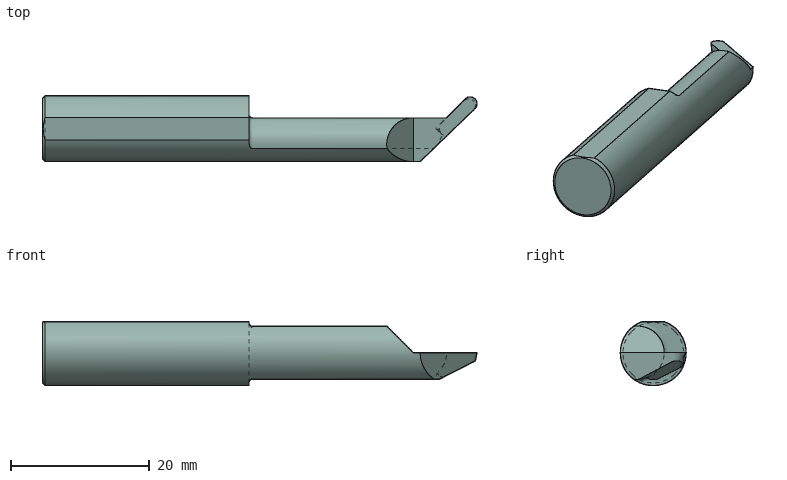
import cadquery as cq
import math

SHANK_RADIUS = 4.7625
SHANK_LENGTH = 29.8
FLAT_HEIGHT = 4.4775
BACK_CHAMFER = 0.4

NECK_RADIUS = 3.84
NECK_CENTER_Y = -2.27
NECK_FILLET = 0.5

CUTTING_FACE_Z = 0.0
RAMP_FOOT_X = 53.5

OVERALL_LENGTH = 62.7
TIP_RADIUS = 1.0
TIP_CENTER_X = OVERALL_LENGTH - TIP_RADIUS
TIP_CENTER_Y = 3.6
FRONT_FLANK_ANGLE = 44.0
REAR_FLANK_ANGLE = 45.5
ARM_LENGTH = 5.0
TIP_RELIEF_ANGLE = 15.0

SLOPE_START_X = 57.25
SLOPE_ANGLE = 27.0

CLEARANCE = 20.0

TIP_CENTER = cq.Vector(TIP_CENTER_X, TIP_CENTER_Y, CUTTING_FACE_Z)


def flank_direction(angle):
    """Horizontal unit vector along an arm flank, pointing toward the tip."""
    return cq.Vector(math.cos(math.radians(angle)), math.sin(math.radians(angle)), 0)


def left_of(direction):
    """Horizontal direction turned a quarter turn counter-clockwise."""
    return cq.Vector(-direction.y, direction.x, 0)


FRONT_DIRECTION = flank_direction(FRONT_FLANK_ANGLE)
REAR_DIRECTION = flank_direction(REAR_FLANK_ANGLE)
FRONT_TANGENT = TIP_CENTER - left_of(FRONT_DIRECTION) * TIP_RADIUS
REAR_TANGENT = TIP_CENTER + left_of(REAR_DIRECTION) * TIP_RADIUS


def make_shank():
    bar = cq.Workplane("YZ").circle(SHANK_RADIUS).extrude(SHANK_LENGTH)
    bar = bar.faces("<X").chamfer(BACK_CHAMFER)
    above_flat = (
        cq.Workplane("XY")
        .workplane(offset=FLAT_HEIGHT)
        .rect(2 * OVERALL_LENGTH, 4 * SHANK_RADIUS)
        .extrude(CLEARANCE)
    )
    return bar.cut(above_flat)


def make_neck():
    """Revolved bar whose root flares into the shank face, kept inside the shank surface."""
    root_radius = NECK_RADIUS + NECK_FILLET
    fillet_middle = NECK_FILLET * (1 - math.sqrt(0.5))
    profile = (
        cq.Workplane("XZ", origin=(0, NECK_CENTER_Y, 0))
        .moveTo(SHANK_LENGTH, 0)
        .lineTo(SHANK_LENGTH, root_radius)
        .threePointArc(
            (SHANK_LENGTH + fillet_middle, NECK_RADIUS + fillet_middle),
            (SHANK_LENGTH + NECK_FILLET, NECK_RADIUS),
        )
        .lineTo(OVERALL_LENGTH, NECK_RADIUS)
        .lineTo(OVERALL_LENGTH, 0)
        .close()
    )
    bar = profile.revolve(360, (0, 0, 0), (1, 0, 0))
    envelope = cq.Workplane("YZ").circle(SHANK_RADIUS).extrude(OVERALL_LENGTH)
    return bar.intersect(envelope)


def cut_ramp(neck):
    """Remove everything above the ramp and the cutting face."""
    above = (
        cq.Workplane("XZ")
        .moveTo(RAMP_FOOT_X, CUTTING_FACE_Z)
        .lineTo(RAMP_FOOT_X + CLEARANCE, CUTTING_FACE_Z)
        .lineTo(RAMP_FOOT_X + CLEARANCE, CUTTING_FACE_Z + CLEARANCE)
        .lineTo(RAMP_FOOT_X - CLEARANCE, CUTTING_FACE_Z + CLEARANCE)
        .close()
        .extrude(CLEARANCE, both=True)
    )
    return neck.cut(above)


def cut_in_front_of_arm(neck):
    """Trim the neck to the vertical plane of the arm's front flank."""
    flank_start = FRONT_TANGENT - FRONT_DIRECTION * CLEARANCE
    flank_end = FRONT_TANGENT + FRONT_DIRECTION * CLEARANCE
    outward = left_of(FRONT_DIRECTION) * -CLEARANCE
    corners = [flank_start, flank_end, flank_end + outward, flank_start + outward]
    front = (
        cq.Workplane("XY")
        .polyline([(corner.x, corner.y) for corner in corners])
        .close()
        .extrude(CLEARANCE, both=True)
    )
    return neck.cut(front)


def make_arm():
    """Finger drawn on the cutting face and extruded down, leaning back for tip relief."""
    front_root = FRONT_TANGENT - FRONT_DIRECTION * ARM_LENGTH
    rear_root = REAR_TANGENT - REAR_DIRECTION * ARM_LENGTH
    nose = TIP_CENTER + FRONT_DIRECTION * TIP_RADIUS
    outline = cq.Wire.assembleEdges([
        cq.Edge.makeLine(front_root, FRONT_TANGENT),
        cq.Edge.makeThreePointArc(FRONT_TANGENT, nose, REAR_TANGENT),
        cq.Edge.makeLine(REAR_TANGENT, rear_root),
        cq.Edge.makeLine(rear_root, front_root),
    ])
    depth = CUTTING_FACE_Z + NECK_RADIUS
    lean = depth * math.tan(math.radians(TIP_RELIEF_ANGLE))
    direction = cq.Vector(0, 0, -depth) - FRONT_DIRECTION * lean
    return cq.Workplane(cq.Solid.extrudeLinear(outline, [], direction))


def cut_underside(body):
    slope_drop = CLEARANCE * math.tan(math.radians(SLOPE_ANGLE))
    below = (
        cq.Workplane("XZ")
        .moveTo(SLOPE_START_X, -NECK_RADIUS)
        .lineTo(SLOPE_START_X + CLEARANCE, -NECK_RADIUS + slope_drop)
        .lineTo(SLOPE_START_X + CLEARANCE, -NECK_RADIUS)
        .close()
        .extrude(CLEARANCE, both=True)
    )
    return body.cut(below)


neck = cut_in_front_of_arm(cut_ramp(make_neck()))
arm = make_arm().union(neck)
result = make_shank().union(cut_underside(arm))